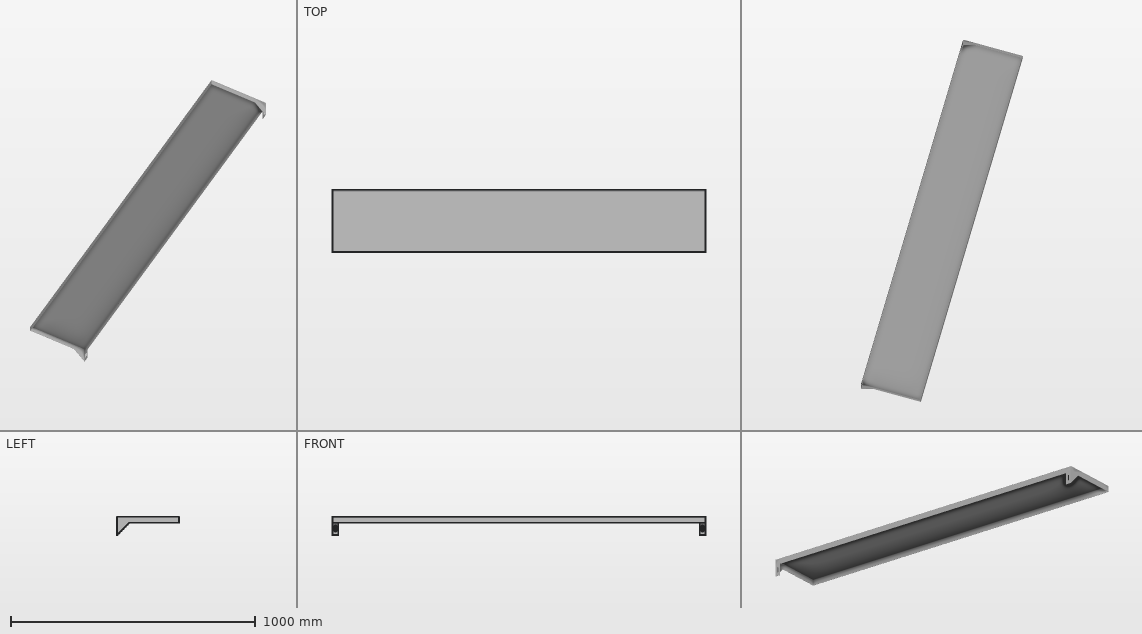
import cadquery as cq

length = 1524.0
depth = 255.0
total_height = 76.0
rim_height = 26.0
sheet_thickness = 1.2
bend_radius = 3.8
inner_bend_radius = bend_radius - sheet_thickness

bracket_width = 25.0
bracket_drop = total_height - rim_height
bracket_reach = bracket_drop

slot_width = 7.2
slot_height = 25.0
slot_rise = 2.0
slot_center_below_rim = bracket_drop / 2 - slot_rise

wall_y = depth / 2
end_x = length / 2


def rounded_block(block_length, block_depth, height, radius):
    """Block standing on Z = 0 with both long top edges rounded."""
    block = cq.Workplane("XY").box(block_length, block_depth, height, centered=(True, True, False))
    return block.edges("|X and >Z").fillet(radius)


def make_tray():
    outside = rounded_block(length, depth, rim_height, bend_radius)
    inside = rounded_block(
        length - 2 * sheet_thickness,
        depth - 2 * sheet_thickness,
        rim_height - sheet_thickness,
        inner_bend_radius,
    )
    return outside.cut(inside)


def make_left_bracket():
    plate = (
        cq.Workplane("XY", origin=(-end_x, wall_y - sheet_thickness, -bracket_drop))
        .box(bracket_width, sheet_thickness, bracket_drop, centered=False)
    )
    web_outline = [
        (wall_y, 0),
        (wall_y, -bracket_drop),
        (wall_y - sheet_thickness, -bracket_drop),
        (wall_y - bracket_reach, 0),
    ]
    web = (
        cq.Workplane("YZ", origin=(-end_x, 0, 0))
        .polyline(web_outline)
        .close()
        .extrude(sheet_thickness)
    )
    slot_center_x = -end_x + bracket_width / 2
    slot = (
        cq.Workplane("XZ", origin=(slot_center_x, wall_y, -slot_center_below_rim))
        .slot2D(slot_height, slot_width, angle=90)
        .extrude(sheet_thickness)
    )
    return plate.union(web).cut(slot)


left_bracket = make_left_bracket()
right_bracket = left_bracket.mirror("YZ")

result = make_tray().union(left_bracket).union(right_bracket)